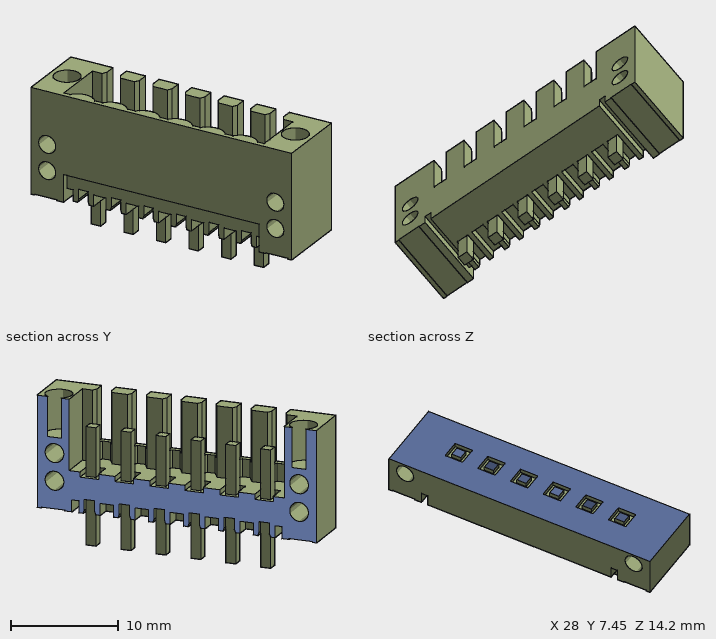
import cadquery as cq


PIN_COUNT = 6
PITCH = 3.5
PIN_SIDE = 1.0
PIN_Y = -0.22
PIN_TAIL = 3.2
PIN_TIP_DEPTH = 2.63
PIN_XS = [(i - (PIN_COUNT - 1) / 2) * PITCH for i in range(PIN_COUNT)]
PIN_BACK_Y = PIN_Y + PIN_SIDE / 2

LENGTH = 28.0
WIDTH = 7.45
HEIGHT = 11.05
FRONT_Y = -WIDTH / 2
BACK_Y = WIDTH / 2

CAVITY_LENGTH = 21.5
CAVITY_DEPTH = 7.0
FLOOR_Z = HEIGHT - CAVITY_DEPTH
FRONT_WALL = 0.5
BACK_WALL = 1.6
CAVITY_FRONT_Y = FRONT_Y + FRONT_WALL
CAVITY_BACK_Y = BACK_Y - BACK_WALL
PIN_POCKET_SIDE = 1.82
PIN_POCKET_DEPTH = 0.5

KEY_WIDTH = 2.63
KEY_RISE = 0.67

CHANNEL_MOUTH = 1.95
CHANNEL_END = 0.78
CHANNEL_DEPTH = 1.0
BACK_SLOT_WIDTH = 1.43
BACK_SLOT_DEPTH = 5.25

FLANGE_X = (PIN_COUNT + 1) / 2 * PITCH
SCREW_HOLE_DIAMETER = 2.6
SCREW_HOLE_DEPTH = 3.92
CROSS_HOLE_DIAMETER = 1.82
CROSS_HOLE_ZS = [2.85, 5.57]
RELIEF_WIDTH = 2.35
RELIEF_HEIGHT = 0.08
RELIEF_INSET = 0.42

RECESS_LENGTH = 21.0
RECESS_DEPTH = 0.67
RECESS_HEIGHT = 2.88
RECESS_Y = FRONT_Y + RECESS_DEPTH
FOOT_WIDTH = 2.18
FOOT_HEIGHT = 1.18
PIN_SLOT_HEIGHT = 1.37
FLARE_WIDTH = 0.1
FLARE_HEIGHT = 0.35


def box(x_range, y_range, z_range):
    """Axis-aligned block given by its limits along X, Y and Z."""
    lows, highs = zip(x_range, y_range, z_range)
    sizes = [high - low for low, high in zip(lows, highs)]
    return cq.Workplane("XY").box(*sizes, centered=False).translate(lows)


def centred(middle, width):
    """Limits of a stretch of the given width around its middle."""
    return (middle - width / 2, middle + width / 2)


def key(x):
    """Rounded key standing on the front wall of the cavity."""
    return (
        cq.Workplane("XY", origin=(x, CAVITY_FRONT_Y, FLOOR_Z))
        .moveTo(-KEY_WIDTH / 2, 0)
        .threePointArc((0, KEY_RISE), (KEY_WIDTH / 2, 0))
        .close()
        .extrude(CAVITY_DEPTH)
    )


def channel(x):
    """Tapered channel running down the back wall to the cavity floor."""
    return (
        cq.Workplane("XY", origin=(x, CAVITY_BACK_Y, FLOOR_Z))
        .polyline(
            [
                (-CHANNEL_MOUTH / 2, 0),
                (CHANNEL_MOUTH / 2, 0),
                (CHANNEL_END / 2, CHANNEL_DEPTH),
                (-CHANNEL_END / 2, CHANNEL_DEPTH),
            ]
        )
        .close()
        .extrude(CAVITY_DEPTH)
    )


def cavity():
    """Open-topped cavity, with the keys left standing and the channels added."""
    space = box(centred(0, CAVITY_LENGTH), (CAVITY_FRONT_Y, CAVITY_BACK_Y), (FLOOR_Z, HEIGHT))
    for x in PIN_XS:
        space = space.cut(key(x)).union(channel(x))
    return space


def back_slot(x):
    """Slot through the back wall, open at the top."""
    return box(centred(x, BACK_SLOT_WIDTH), (CAVITY_BACK_Y, BACK_Y), (HEIGHT - BACK_SLOT_DEPTH, HEIGHT))


def pin_pocket(x):
    """Shallow square pocket in the cavity floor around a pin."""
    return box(
        centred(x, PIN_POCKET_SIDE), centred(PIN_Y, PIN_POCKET_SIDE), (FLOOR_Z - PIN_POCKET_DEPTH, FLOOR_Z)
    )


def pin_slot(x):
    """Slot from the front of a foot to the back of its pin, flared at the underside."""
    half_slot = PIN_SIDE / 2
    half_mouth = half_slot + FLARE_WIDTH
    return (
        cq.Workplane("XZ", origin=(x, PIN_BACK_Y, 0))
        .polyline(
            [
                (-half_mouth, 0),
                (-half_slot, FLARE_HEIGHT),
                (-half_slot, PIN_SLOT_HEIGHT),
                (half_slot, PIN_SLOT_HEIGHT),
                (half_slot, FLARE_HEIGHT),
                (half_mouth, 0),
            ]
        )
        .close()
        .extrude(PIN_BACK_Y - RECESS_Y)
    )


def cut_underside(body):
    """Front recess, gaps between the feet, open gaps at both ends and pin slots."""
    body = body.cut(box(centred(0, RECESS_LENGTH), (FRONT_Y, RECESS_Y), (0, RECESS_HEIGHT)))

    gap_width = PITCH - FOOT_WIDTH
    for x in PIN_XS[:-1]:
        gap_x = centred(x + PITCH / 2, gap_width)
        body = body.cut(box(gap_x, (RECESS_Y, PIN_BACK_Y), (0, FOOT_HEIGHT)))

    feet_end = PIN_XS[-1] + FOOT_WIDTH / 2
    for end_x in [(-RECESS_LENGTH / 2, -feet_end), (feet_end, RECESS_LENGTH / 2)]:
        body = body.cut(box(end_x, (FRONT_Y, BACK_Y), (0, FOOT_HEIGHT)))

    for x in PIN_XS:
        body = body.cut(pin_slot(x))
    return body


def cut_flange(body, side):
    """Blind screw hole, two cross holes and underside relief at one end; side is -1 or 1."""
    x = side * FLANGE_X
    screw_hole = (
        cq.Workplane("XY", origin=(x, 0, HEIGHT))
        .circle(SCREW_HOLE_DIAMETER / 2)
        .extrude(-SCREW_HOLE_DEPTH)
    )
    body = body.cut(screw_hole)

    for z in CROSS_HOLE_ZS:
        cross_hole = (
            cq.Workplane("XZ", origin=(x, BACK_Y, z)).circle(CROSS_HOLE_DIAMETER / 2).extrude(WIDTH)
        )
        body = body.cut(cross_hole)

    relief_x = side * (LENGTH / 2 - RELIEF_INSET - RELIEF_WIDTH / 2)
    return body.cut(box(centred(relief_x, RELIEF_WIDTH), (FRONT_Y, BACK_Y), (0, RELIEF_HEIGHT)))


def make_pin(x):
    """Straight square contact pin."""
    return box(centred(x, PIN_SIDE), centred(PIN_Y, PIN_SIDE), (-PIN_TAIL, HEIGHT - PIN_TIP_DEPTH))


def make_housing():
    """Housing with its mating cavity, flanges, feet and pin holes."""
    body = box(centred(0, LENGTH), (FRONT_Y, BACK_Y), (0, HEIGHT))
    body = body.cut(cavity())
    for x in PIN_XS:
        body = body.cut(back_slot(x)).cut(pin_pocket(x))
    body = cut_underside(body)
    for side in (-1, 1):
        body = cut_flange(body, side)
    for x in PIN_XS:
        body = body.cut(make_pin(x))
    return body


housing = make_housing()
pins = [make_pin(x) for x in PIN_XS]

result = cq.Compound.makeCompound([housing.solids().val(), *[pin.val() for pin in pins]])